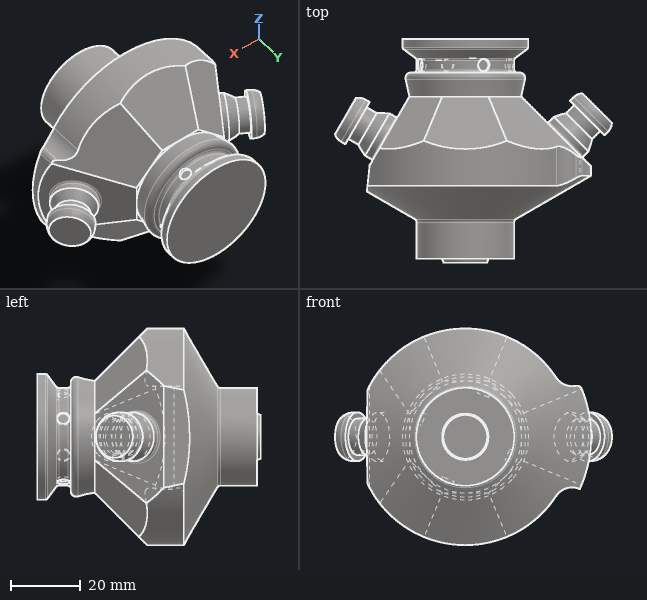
import cadquery as cq
import math


FRONT_FACE_Y = 1.1
CONE_RIM_Y = 22.0
PYRAMID_TOP_Y = 47.5
COLLAR_ROUNDING_CENTRE_Y = 52.75
GROOVE_END_Y = 58.25
FLANGE_EDGE_Y = 61.25
REAR_Y = 64.0

NECK_R = 14.0
BOSS_BASE_R = 6.65
BOSS_TIP_R = 6.25
CONE_ANGLE = 60.0
NECK_FILLET = 1.0

BODY_R = 31.0
FACET_COUNT = 8
PYRAMID_TOP_APOTHEM = 16.0
FACET_TILT = 45.0
SIDE_FACET_TILT = 30.0
SIDE_FLAT_Y = 27.8
SIDE_FLAT_TILT = 6.0

LUG_R = 36.0
LUG_HALF_WIDTH = 14.5
LUG_BLEND_R = 5.5
LUG_CORNER_R = 1.5

COLLAR_BASE_R = 16.0
COLLAR_ROUNDING_CENTRE_R = 15.5
COLLAR_ROUNDING = 1.65
COLLAR_FILLET = 0.9
GROOVE_R = 14.0
GROOVE_FILLET = 0.8
FLANGE_R = 18.0

GROOVE_HOLE_DIAMETER = 3.5
GROOVE_HOLE_DEPTH = 1.0
GROOVE_HOLE_Y = 56.5
GROOVE_HOLE_COUNT = 4
GROOVE_HOLE_START_ANGLE = 67.5

PIN_R = 7.0
PIN_NECK_R = 5.25
PIN_TIP_R = 6.05
PIN_ROOT_FILLET = 0.5
PIN_SHOULDER_H = 2.5
PIN_NECK_H = 5.7
PIN_HEAD_H = 9.0
PIN_HEAD_CURVE_H = 10.5
PIN_LENGTH = 13.0
PIN_SHOULDER_BULGE = 0.15
PIN_EMBED = 1.0
LEFT_PIN_DROP = 12.1
RIGHT_PIN_DROP = 12.5


def cone_y(radius):
    """Station where the front cone reaches the given radius."""
    return CONE_RIM_Y + (radius - BODY_R) / math.tan(math.radians(CONE_ANGLE))


def revolve_profile(points, fillets):
    """Revolve a (radius, y) outline about Y, rounding the listed (point, radius) corners."""
    sketch = cq.Sketch().polygon(points + [points[0]])
    for (radius, y), rounding in fillets:
        nearest = cq.selectors.NearestToPointSelector((radius, y, 0))
        sketch = sketch.reset().vertices(nearest).fillet(rounding)
    return cq.Workplane("XY").placeSketch(sketch.reset()).revolve(360, (0, 0, 0), (0, 1, 0))


def body_blank():
    """Front boss, neck and cone, carried out to the lug radius."""
    cone_foot = (NECK_R, cone_y(NECK_R))
    outline = [
        (0, 0),
        (BOSS_TIP_R, 0),
        (BOSS_BASE_R, FRONT_FACE_Y),
        (NECK_R, FRONT_FACE_Y),
        cone_foot,
        (LUG_R, cone_y(LUG_R)),
        (LUG_R, PYRAMID_TOP_Y),
        (0, PYRAMID_TOP_Y),
    ]
    return revolve_profile(outline, [(cone_foot, NECK_FILLET)])


def disc_prism(radius, x=0, z=0):
    """Cylinder along Y, from the front tip to the top of the pyramid."""
    return cq.Workplane("XZ").center(x, z).circle(radius).extrude(-PYRAMID_TOP_Y)


def lug_outline():
    """Prism along Y: the body disc with the lug blended into it by concave arcs."""
    centre_distance = BODY_R + LUG_BLEND_R
    blend_z = LUG_HALF_WIDTH + LUG_BLEND_R
    blend_x = math.sqrt(centre_distance**2 - blend_z**2)
    tangent_z = blend_z * BODY_R / centre_distance
    lug = (
        cq.Workplane("XZ")
        .center(LUG_R / 2, 0)
        .rect(LUG_R, 2 * tangent_z)
        .extrude(-PYRAMID_TOP_Y)
        .intersect(disc_prism(LUG_R))
    )
    prism = disc_prism(BODY_R).union(lug)
    for side in (-1, 1):
        prism = prism.cut(disc_prism(LUG_BLEND_R, blend_x, side * blend_z))
    top_corner = cq.selectors.NearestToPointSelector((LUG_R, PYRAMID_TOP_Y / 2, LUG_HALF_WIDTH))
    return prism.edges("|Y").edges(top_corner).fillet(LUG_CORNER_R)


def facet_pyramid():
    """Eight-sided pyramid frustum, one facet square to each of X and Z."""
    foot_apothem = PYRAMID_TOP_APOTHEM + PYRAMID_TOP_Y * math.tan(math.radians(FACET_TILT))
    return (
        cq.Workplane("XZ")
        .polygon(FACET_COUNT, 2 * foot_apothem, circumscribed=True)
        .workplane(offset=-PYRAMID_TOP_Y)
        .polygon(FACET_COUNT, 2 * PYRAMID_TOP_APOTHEM, circumscribed=True)
        .loft(ruled=True)
    )


def left_side_cutter():
    """Material beyond the steep facet and the nearly axial flat on the -X side."""
    facet_drop = PYRAMID_TOP_Y - SIDE_FLAT_Y
    flat_x = -PYRAMID_TOP_APOTHEM - facet_drop * math.tan(math.radians(SIDE_FACET_TILT))
    foot_x = flat_x - SIDE_FLAT_Y * math.tan(math.radians(SIDE_FLAT_TILT))
    outer_x = -2 * LUG_R
    return (
        cq.Workplane("XY")
        .polyline([
            (-PYRAMID_TOP_APOTHEM, PYRAMID_TOP_Y),
            (flat_x, SIDE_FLAT_Y),
            (foot_x, 0),
            (outer_x, 0),
            (outer_x, PYRAMID_TOP_Y),
        ])
        .close()
        .extrude(2 * LUG_R, both=True)
    )


def rear_flange():
    """Flange with a conical front, joined to the groove cylinder."""
    groove_rear = (GROOVE_R, GROOVE_END_Y)
    flange_edge = (FLANGE_R, FLANGE_EDGE_Y)
    outline = [
        (0, PYRAMID_TOP_Y),
        (GROOVE_R, PYRAMID_TOP_Y),
        groove_rear,
        flange_edge,
        (FLANGE_R, REAR_Y),
        (0, REAR_Y),
    ]
    return revolve_profile(outline, [(groove_rear, GROOVE_FILLET), (flange_edge, GROOVE_FILLET)])


def collar():
    """Flared collar whose rounded rim runs through a concave arc into the groove."""
    hollow_r = GROOVE_R + COLLAR_FILLET
    arc_distance = COLLAR_FILLET + COLLAR_ROUNDING
    offset_r = COLLAR_ROUNDING_CENTRE_R - hollow_r
    offset_y = math.sqrt(arc_distance**2 - offset_r**2)
    hollow_y = COLLAR_ROUNDING_CENTRE_Y + offset_y
    join_angle = math.atan2(offset_y, -offset_r)

    foot_dr = COLLAR_BASE_R - COLLAR_ROUNDING_CENTRE_R
    foot_dy = PYRAMID_TOP_Y - COLLAR_ROUNDING_CENTRE_Y
    foot_distance = math.hypot(foot_dr, foot_dy)
    flare_angle = math.atan2(foot_dy, foot_dr) + math.acos(COLLAR_ROUNDING / foot_distance)

    def on_rim(angle):
        return (
            COLLAR_ROUNDING_CENTRE_R + COLLAR_ROUNDING * math.cos(angle),
            COLLAR_ROUNDING_CENTRE_Y + COLLAR_ROUNDING * math.sin(angle),
        )

    return (
        cq.Workplane("XY")
        .moveTo(0, PYRAMID_TOP_Y)
        .lineTo(COLLAR_BASE_R, PYRAMID_TOP_Y)
        .lineTo(*on_rim(flare_angle))
        .threePointArc(on_rim((flare_angle + join_angle) / 2), on_rim(join_angle))
        .tangentArcPoint((GROOVE_R, hollow_y), relative=False)
        .lineTo(0, hollow_y)
        .close()
        .revolve(360, (0, 0, 0), (0, 1, 0))
    )


def groove_holes():
    """Shallow radial holes spread evenly around the groove."""
    drill = (
        cq.Workplane("YZ", origin=(GROOVE_R - GROOVE_HOLE_DEPTH, GROOVE_HOLE_Y, 0))
        .circle(GROOVE_HOLE_DIAMETER / 2)
        .extrude(2 * GROOVE_HOLE_DEPTH)
    )
    drills = cq.Workplane("XY")
    for index in range(GROOVE_HOLE_COUNT):
        angle = GROOVE_HOLE_START_ANGLE + index * 360 / GROOVE_HOLE_COUNT
        drills = drills.add(drill.rotate((0, 0, 0), (0, 1, 0), -angle))
    return drills.combine()


def side_pin(side, facet_tilt, drop):
    """Headed pin standing square on the +X or -X facet (side = +1 or -1)."""
    tilt = math.radians(facet_tilt)
    foot_x = side * (PYRAMID_TOP_APOTHEM + drop * math.tan(tilt))
    axis = (side * math.cos(tilt), math.sin(tilt), 0)
    plane = cq.Plane(origin=(foot_x, PYRAMID_TOP_Y - drop, 0), xDir=(0, 0, 1), normal=axis)
    root_r = PIN_R + PIN_ROOT_FILLET
    root_mid = PIN_ROOT_FILLET * (1 - math.sqrt(0.5))
    shoulder_mid = (
        (PIN_R + PIN_NECK_R) / 2 + PIN_SHOULDER_BULGE,
        (PIN_SHOULDER_H + PIN_NECK_H) / 2,
    )
    profile = (
        cq.Workplane("XZ")
        .moveTo(0, -PIN_EMBED)
        .lineTo(root_r, -PIN_EMBED)
        .lineTo(root_r, 0)
        .threePointArc((PIN_R + root_mid, root_mid), (PIN_R, PIN_ROOT_FILLET))
        .lineTo(PIN_R, PIN_SHOULDER_H)
        .threePointArc(shoulder_mid, (PIN_NECK_R, PIN_NECK_H))
        .lineTo(PIN_NECK_R, PIN_HEAD_H)
        .lineTo(PIN_R, PIN_HEAD_H)
        .lineTo(PIN_R, PIN_HEAD_CURVE_H)
        .tangentArcPoint((PIN_TIP_R, PIN_LENGTH), relative=False)
        .lineTo(0, PIN_LENGTH)
        .close()
    )
    pin = profile.revolve(360, (0, 0, 0), (0, 1, 0))
    return cq.Workplane(pin.val().moved(plane.location))


result = body_blank().intersect(lug_outline()).intersect(facet_pyramid())
result = result.cut(left_side_cutter())
result = result.union(rear_flange()).union(collar()).cut(groove_holes())
result = result.union(side_pin(-1, SIDE_FACET_TILT, LEFT_PIN_DROP))
result = result.union(side_pin(1, FACET_TILT, RIGHT_PIN_DROP))